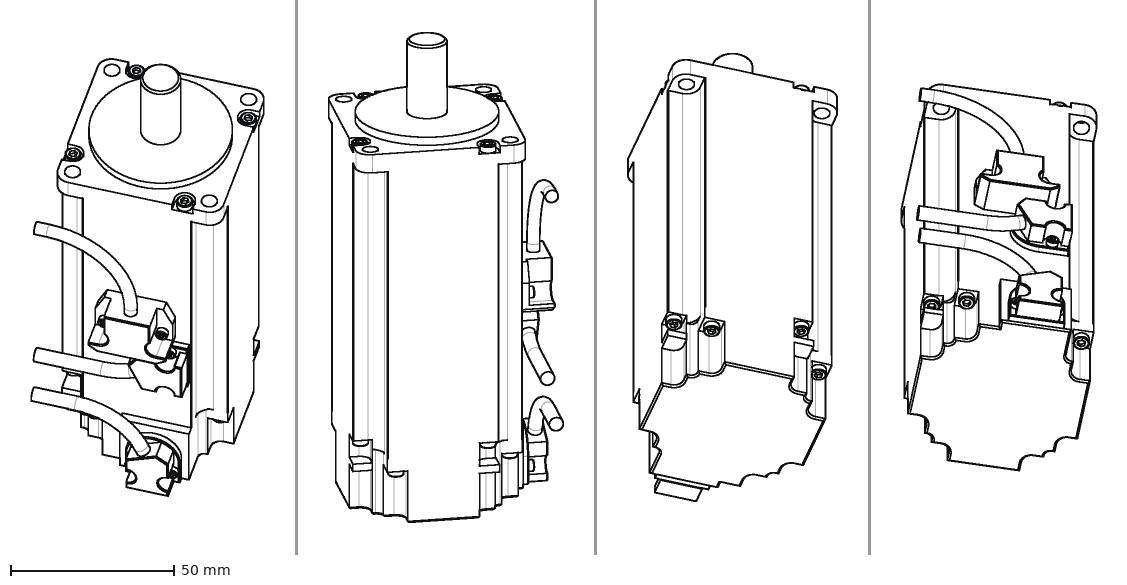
import cadquery as cq
import math

FRAME = 52.8
HALF = FRAME / 2
BOTTOM_Z = -121.64
BOTTOM_CHAMFER = 0.6

SHAFT_DIA = 12.32
SHAFT_LENGTH = 26.4
SHAFT_CHAMFER = 0.7
PILOT_DIA = 44.0
PILOT_HEIGHT = 2.64

FLANGE_THICKNESS = 5.95
FLANGE_CORNER_RADIUS = 4.4
MOUNT_HOLE_DIA = 4.84
MOUNT_HOLE_PITCH = 43.56

NOTCH_RADIUS = 4.4
NOTCH_WALL = MOUNT_HOLE_PITCH / 2 - NOTCH_RADIUS
NOTCH_EDGE_CHAMFER = 0.25
COVER_TOP_Z = -100.1
COVER_NOTCH_RADIUS = 2.0
OVERCUT = 1.0

HEAD_RADIUS = 2.42
HEAD_HEIGHT = 2.2
HEAD_CHAMFER = 0.3
SOCKET_FLATS = 2.2
SOCKET_DEPTH = 1.2
FLANGE_SCREW = (14.5, -23.75)
FLANGE_POCKET_RADIUS = 3.3
SCREW_SLOT_RADIUS = 3.1
LOW_SCREW = (-14.1, -23.1)
HIGH_SCREW = (-23.5, -14.5)
HIGH_SCREW_TURNS = (0, 2, 3)
LOW_SEAT_Z = -104.5
HIGH_SEAT_Z = -97.0
SLOT_BAR_HEIGHT = 2.4

BOSS_LEFT = -4.6
BOSS_HEIGHT = 2.7

POWER_TOP_Z = -45.2
POWER_TOP_HALF = 9.4
POWER_SIDE_HALF = 12.3
POWER_SHOULDER_Z = -51.1
POWER_LOWER_Z = -59.7
POWER_BOTTOM_Z = -61.6
POWER_BLOCK_HALF = 7.3
POWER_BASE_HEIGHT = 3.2
POWER_HEIGHT = 11.24
POWER_SCREW_X = 9.2
POWER_SCREW_Z = -55.3
POWER_POCKET_RADIUS = 3.1
POWER_CABLE_DIA = 4.0
POWER_CABLE_OUT = 6.75
POWER_CABLE_END_X = -30.3
POWER_CABLE_Z = -16.2
POWER_CABLE_STUB = 2.64

PLUG_PAD_RADIUS = 8.6
PLUG_TAIL = 9.3
PLUG_PAD_HEIGHT = 2.2
PLUG_HEIGHT = 8.54
PLUG_HALF = 6.7
PLUG_SLANT_SIDE_U = 3.5
PLUG_SLANT_TIP = (2.9, 7.8)
PLUG_SHOULDER_U = 5.3
PLUG_SCREW_V = 6.5
PLUG_SCREW_U = -4.0
PLUG_POCKET_RADIUS = 2.9
PLUG_CABLE_DIA = 4.4
PLUG_CABLE_STUB = 2.07
PLUG_CABLE_END_X = -30.73

PLUG_EDGE_CHAMFER = 0.35
PLUG_HEAD_RADIUS = 1.8
PLUG_HEAD_HEIGHT = 1.9
PLUG_SOCKET_FLATS = 1.5
PLUG_SOCKET_DEPTH = 0.8

BRAKE_PLUG_X = 7.4
BRAKE_PLUG_Z = -70.9
BRAKE_CABLE_Z = -75.65
ENCODER_PLUG_X = 6.4
ENCODER_PLUG_Z = -111.7
ENCODER_CABLE_Z = -90.8


def box(x_range, y_range, z_range):
    """Axis-aligned box between the given limits."""
    size = [high - low for low, high in (x_range, y_range, z_range)]
    return cq.Workplane("XY").box(*size, centered=False).translate((x_range[0], y_range[0], z_range[0]))


def quarter_turns(shape, turns):
    """Turn a shape about the shaft axis by a number of quarter turns."""
    return shape.rotate((0, 0, 0), (0, 0, 1), 90 * turns)


def front_plane(y):
    """Plane at the given Y whose local axes are X and Z and whose normal is -Y."""
    return cq.Workplane("XZ", origin=(0, y, 0))


def socket_head(radius, height, flats, depth):
    """Screw head standing on Z = 0 with a hexagon socket in its top."""
    head = cq.Workplane("XY").circle(radius).extrude(height)
    head = head.faces(">Z").chamfer(HEAD_CHAMFER)
    across_corners = flats / math.cos(math.pi / 6)
    return head.faces(">Z").workplane(origin=(0, 0, 0)).polygon(6, across_corners).cutBlind(-depth)


def frame_head():
    """Socket head of a flange or cover screw."""
    return socket_head(HEAD_RADIUS, HEAD_HEIGHT, SOCKET_FLATS, SOCKET_DEPTH)


def front_head(x, y, z):
    """Plug screw head standing on the plane at y and pointing to -Y."""
    head = socket_head(PLUG_HEAD_RADIUS, PLUG_HEAD_HEIGHT, PLUG_SOCKET_FLATS, PLUG_SOCKET_DEPTH)
    return head.rotate((0, 0, 0), (1, 0, 0), 90).translate((x, y, z))


def make_column(z_range, notch_radius):
    """Square column with a notch, rounded inside, along each corner."""
    column = box((-HALF, HALF), (-HALF, HALF), z_range)
    reach = HALF + OVERCUT
    notch = box((NOTCH_WALL, reach), (NOTCH_WALL, reach), z_range)
    notch = notch.edges("|Z and <X and <Y").fillet(notch_radius)
    for turn in range(4):
        column = column.cut(quarter_turns(notch, turn))
    return column


def make_motor_body():
    """Motor section, with the long notch edges broken."""
    body = make_column((COVER_TOP_Z, -FLANGE_THICKNESS), NOTCH_RADIUS)
    return body.edges("|Z").edges("<X or >X or <Y or >Y").chamfer(NOTCH_EDGE_CHAMFER)


def make_cover():
    """Rear cover with its screw slots and the raised pad on the -Y face."""
    cover = make_column((BOTTOM_Z, COVER_TOP_Z), COVER_NOTCH_RADIUS)
    boss = box((BOSS_LEFT, NOTCH_WALL), (-HALF - BOSS_HEIGHT, -HALF), (BOTTOM_Z, COVER_TOP_Z))
    cover = cover.union(boss)
    low_slot = screw_slot(*LOW_SCREW, LOW_SEAT_Z)
    high_slot = screw_slot(*HIGH_SCREW, HIGH_SEAT_Z)
    for turn in range(4):
        cover = cover.cut(quarter_turns(low_slot, turn))
    for turn in HIGH_SCREW_TURNS:
        cover = cover.cut(quarter_turns(high_slot, turn))
    return cover.faces("<Z").chamfer(BOTTOM_CHAMFER)


def make_flange():
    """Mounting flange with its pilot, shaft and through holes."""
    flange = cq.Workplane("XY").rect(FRAME, FRAME).extrude(-FLANGE_THICKNESS)
    flange = flange.edges("|Z").fillet(FLANGE_CORNER_RADIUS)
    flange = flange.union(cq.Workplane("XY").circle(PILOT_DIA / 2).extrude(PILOT_HEIGHT))
    shaft = cq.Workplane("XY").circle(SHAFT_DIA / 2).extrude(SHAFT_LENGTH)
    flange = flange.union(shaft.faces(">Z").chamfer(SHAFT_CHAMFER))
    holes = cq.Workplane("XY").rect(MOUNT_HOLE_PITCH, MOUNT_HOLE_PITCH, forConstruction=True).vertices()
    return flange.cut(holes.circle(MOUNT_HOLE_DIA / 2).extrude(-FLANGE_THICKNESS))


def add_flange_screws(body):
    """Screw heads sunk in open pockets around the mounting face."""
    x, y = FLANGE_SCREW
    radius = FLANGE_POCKET_RADIUS
    pocket = cq.Workplane("XY").center(x, y).circle(radius).extrude(-HEAD_HEIGHT)
    mouth = box((x - radius, x + radius), (-HALF - OVERCUT, y), (-HEAD_HEIGHT, 0))
    pocket = pocket.union(mouth)
    head = frame_head().translate((x, y, -HEAD_HEIGHT))
    for turn in range(4):
        body = body.cut(quarter_turns(pocket, turn)).union(quarter_turns(head, turn))
    return body


def screw_slot(x, y, seat_z):
    """Slot around a cover screw at the (-X, -Y) corner, open to both sides of that corner."""
    open_side = -HALF - BOSS_HEIGHT
    x_range = (open_side, x + SCREW_SLOT_RADIUS)
    y_range = (open_side, y + SCREW_SLOT_RADIUS)
    slot = box(x_range, y_range, (BOTTOM_Z, seat_z))
    return slot.edges("|Z and >X and >Y").fillet(SCREW_SLOT_RADIUS)


def hanging_head(x, y, seat_z):
    """Screw head below its seat, socket downwards."""
    return frame_head().rotate((0, 0, 0), (1, 0, 0), 180).translate((x, y, seat_z))


def add_cover_screws(body):
    """Low heads inside the rear cover and high heads seated in the motor body.

    The raised pad takes the place of the high screw on the -Y side.
    """
    low_head = hanging_head(*LOW_SCREW, LOW_SEAT_Z)
    for turn in range(4):
        body = body.union(quarter_turns(low_head, turn))

    x, y = HIGH_SCREW
    recess = screw_slot(x, y, HIGH_SEAT_Z).intersect(
        box((-FRAME, FRAME), (-FRAME, FRAME), (COVER_TOP_Z, HIGH_SEAT_Z))
    )
    high_head = hanging_head(x, y, HIGH_SEAT_Z)
    bar = box(
        (-HALF, x + SCREW_SLOT_RADIUS),
        (y - SCREW_SLOT_RADIUS, y + SCREW_SLOT_RADIUS),
        (LOW_SEAT_Z - SLOT_BAR_HEIGHT, LOW_SEAT_Z),
    )
    for turn in HIGH_SCREW_TURNS:
        body = body.cut(quarter_turns(recess, turn))
        body = body.union(quarter_turns(high_head.union(bar), turn))
    return body


def make_cable(exit_x, exit_z, y, tilt, stub, level_z, end_x, diameter):
    """Cable leaving a plug straight, bending in one arc, then running level to -X.

    tilt is the angle of the leaving direction above the -X direction, in radians.
    """
    leave_x, leave_z = -math.cos(tilt), math.sin(tilt)
    bend_x = exit_x + stub * leave_x
    bend_z = exit_z + stub * leave_z
    radius = (level_z - bend_z) / (1 - math.cos(tilt))
    level_x = bend_x - radius * math.sin(tilt)
    centre_z = level_z - radius
    middle_x = level_x + radius * math.sin(tilt / 2)
    middle_z = centre_z + radius * math.cos(tilt / 2)
    path = (
        front_plane(y)
        .moveTo(end_x, level_z)
        .lineTo(level_x, level_z)
        .threePointArc((middle_x, middle_z), (bend_x, bend_z))
        .lineTo(exit_x, exit_z)
    )
    section = cq.Workplane("YZ", origin=(end_x, y, level_z)).circle(diameter / 2)
    return section.sweep(path)


def make_power_plug():
    """Plug on the -Y face with its cable leaving upwards."""
    outline = [
        (-POWER_TOP_HALF, POWER_TOP_Z),
        (POWER_TOP_HALF, POWER_TOP_Z),
        (POWER_SIDE_HALF, POWER_SHOULDER_Z),
        (POWER_SIDE_HALF, POWER_LOWER_Z),
        (POWER_TOP_HALF, POWER_BOTTOM_Z),
        (-POWER_TOP_HALF, POWER_BOTTOM_Z),
        (-POWER_SIDE_HALF, POWER_LOWER_Z),
        (-POWER_SIDE_HALF, POWER_SHOULDER_Z),
    ]
    plug = front_plane(-HALF).polyline(outline).close().extrude(POWER_HEIGHT)
    floor_y = -HALF - POWER_BASE_HEIGHT
    depth = (-HALF - POWER_HEIGHT, floor_y)
    for side in (-1, 1):
        block_x = side * POWER_BLOCK_HALF
        screw_x = side * POWER_SCREW_X
        edge_x = side * (POWER_SIDE_HALF + OVERCUT)
        upper = box(sorted((block_x, edge_x)), depth, (POWER_SCREW_Z, POWER_TOP_Z))
        lower = box(sorted((screw_x, edge_x)), depth, (POWER_SCREW_Z - POWER_POCKET_RADIUS, POWER_SCREW_Z))
        around = front_plane(floor_y).center(screw_x, POWER_SCREW_Z).circle(POWER_POCKET_RADIUS)
        around = around.extrude(POWER_HEIGHT - POWER_BASE_HEIGHT)
        plug = plug.cut(upper.union(lower).union(around))
    plug = plug.faces("<Y").chamfer(PLUG_EDGE_CHAMFER)
    for side in (-1, 1):
        plug = plug.union(front_head(side * POWER_SCREW_X, floor_y, POWER_SCREW_Z))
    cable = make_cable(
        0, POWER_TOP_Z, -HALF - POWER_CABLE_OUT, math.pi / 2,
        POWER_CABLE_STUB, POWER_CABLE_Z, POWER_CABLE_END_X, POWER_CABLE_DIA,
    )
    return plug.union(cable)


def make_small_plug(x, z, y, turn, cable_z):
    """Plug on the plane at y, its pad centre at (x, z), turned by an angle (degrees) from cable-up."""
    pad = (
        front_plane(0)
        .moveTo(-PLUG_PAD_RADIUS, 0)
        .threePointArc((0, PLUG_PAD_RADIUS), (PLUG_PAD_RADIUS, 0))
        .lineTo(PLUG_PAD_RADIUS, -PLUG_TAIL)
        .lineTo(-PLUG_PAD_RADIUS, -PLUG_TAIL)
        .close()
        .extrude(PLUG_PAD_HEIGHT)
    )
    slant_start = (-PLUG_HALF, PLUG_SLANT_SIDE_U)
    outline = [
        (-PLUG_HALF, -PLUG_TAIL),
        slant_start,
        PLUG_SLANT_TIP,
        (PLUG_HALF, PLUG_SHOULDER_U),
        (PLUG_HALF, -PLUG_TAIL),
    ]
    block_height = PLUG_HEIGHT - PLUG_PAD_HEIGHT
    block = front_plane(-PLUG_PAD_HEIGHT).polyline(outline).close().extrude(block_height)
    screws = [(-PLUG_SCREW_V, PLUG_SCREW_U), (PLUG_SCREW_V, PLUG_SCREW_U)]
    pockets = front_plane(-PLUG_PAD_HEIGHT).pushPoints(screws).circle(PLUG_POCKET_RADIUS).extrude(block_height)
    block = block.cut(pockets).faces("<Y").chamfer(PLUG_EDGE_CHAMFER)
    plug = pad.faces("<Y").chamfer(PLUG_EDGE_CHAMFER).union(block)
    for screw_v, screw_u in screws:
        plug = plug.union(front_head(screw_v, -PLUG_PAD_HEIGHT, screw_u))
    plug = plug.rotate((0, 0, 0), (0, 1, 0), -turn).translate((x, y, z))

    middle_v = (slant_start[0] + PLUG_SLANT_TIP[0]) / 2
    middle_u = (slant_start[1] + PLUG_SLANT_TIP[1]) / 2
    slope = math.atan2(PLUG_SLANT_TIP[1] - slant_start[1], PLUG_SLANT_TIP[0] - slant_start[0])
    angle = math.radians(turn)
    exit_x = x + middle_v * math.cos(angle) - middle_u * math.sin(angle)
    exit_z = z + middle_v * math.sin(angle) + middle_u * math.cos(angle)
    cable_y = y - PLUG_PAD_HEIGHT - block_height / 2
    tilt = math.pi / 2 - slope - angle
    cable = make_cable(
        exit_x, exit_z, cable_y, tilt,
        PLUG_CABLE_STUB, cable_z, PLUG_CABLE_END_X, PLUG_CABLE_DIA,
    )
    return plug.union(cable)


motor = make_motor_body().union(make_cover()).union(make_flange())
motor = add_flange_screws(motor)
motor = add_cover_screws(motor)
motor = motor.union(make_power_plug())
motor = motor.union(make_small_plug(BRAKE_PLUG_X, BRAKE_PLUG_Z, -HALF, 90, BRAKE_CABLE_Z))
encoder_y = -HALF - BOSS_HEIGHT
motor = motor.union(make_small_plug(ENCODER_PLUG_X, ENCODER_PLUG_Z, encoder_y, 0, ENCODER_CABLE_Z))
result = motor